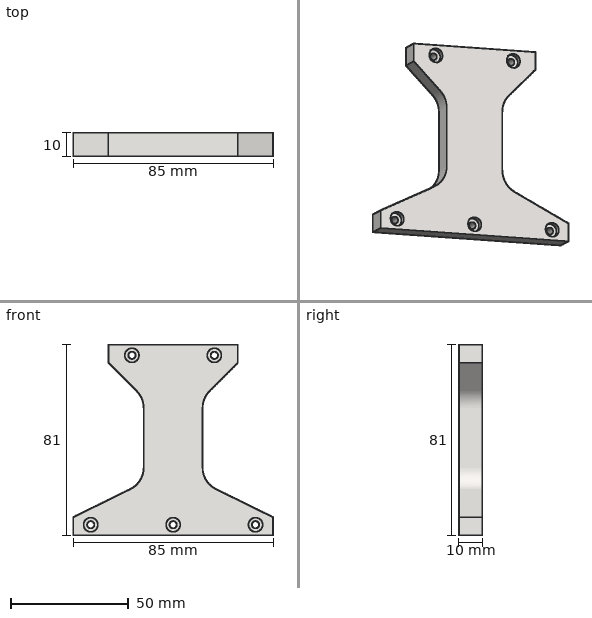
import cadquery as cq
import math

foot_width = 85.0
head_width = 55.0
web_width = 25.2
height = 81.0
thickness = 10.0

end_height = 7.7
head_slope_angle = 45.0
foot_slope_angle = 26.2
corner_radius = 10.0

hole_diameter = 3.0
counterbore_diameter = 6.0
counterbore_depth = 3.0
hole_edge_distance = 4.5
head_hole_spacing = 35.0
foot_hole_spacing = 70.0


def shoulder_rise(outer_width, slope_angle):
    """Height gained by a sloped shoulder between its outer end and the web."""
    return (outer_width - web_width) / 2 * math.tan(math.radians(slope_angle))


def make_plate():
    """Symmetric plate with the front face at Y = 0 and the foot on Z = 0."""
    foot_corner_z = end_height + shoulder_rise(foot_width, foot_slope_angle)
    head_corner_z = height - end_height - shoulder_rise(head_width, head_slope_angle)
    right_side = [
        (foot_width / 2, 0),
        (foot_width / 2, end_height),
        (web_width / 2, foot_corner_z),
        (web_width / 2, head_corner_z),
        (head_width / 2, height - end_height),
        (head_width / 2, height),
    ]
    left_side = [(-x, z) for x, z in reversed(right_side)]
    plate = cq.Workplane("XZ").polyline(right_side + left_side).close().extrude(-thickness)

    margin = 0.85
    inner_corners = cq.selectors.BoxSelector(
        (-web_width / 2 - margin, -margin, foot_corner_z - margin),
        (web_width / 2 + margin, thickness + margin, head_corner_z + margin),
    )
    return plate.edges("|Y").edges(inner_corners).fillet(corner_radius)


def drill_holes(plate):
    """Cut two holes in the head and three in the foot."""
    head_z = height - hole_edge_distance
    positions = [(side * head_hole_spacing / 2, head_z) for side in (-1, 1)]
    positions += [(side * foot_hole_spacing / 2, hole_edge_distance) for side in (-1, 0, 1)]
    return (
        plate.copyWorkplane(cq.Workplane("XZ"))
        .pushPoints(positions)
        .cboreHole(hole_diameter, counterbore_diameter, counterbore_depth)
    )


result = drill_holes(make_plate())